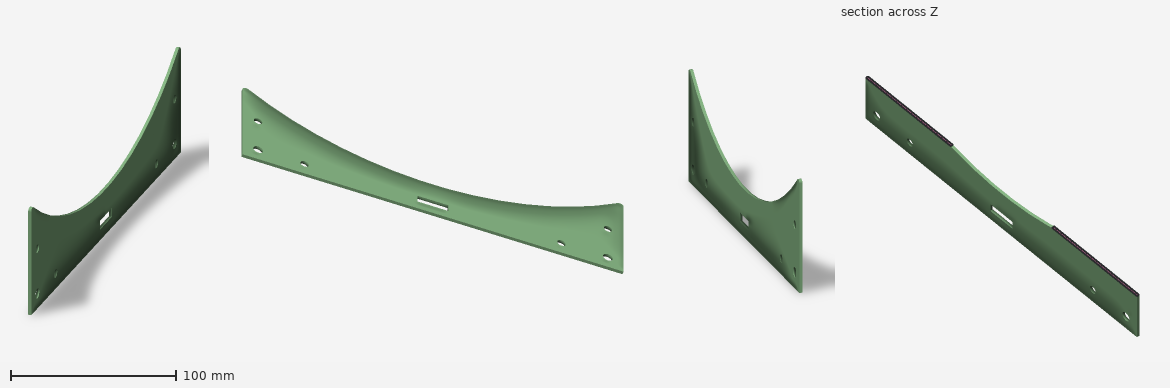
import cadquery as cq
import math

length = 246.0
height = 71.0
thickness = 2.0

arc_radius = 195.0
arc_bottom_height = 30.0
tip_fillet = 2.0

edge_margin = 10.0
hole_pitch = 30.0
corner_hole_diameter = 6.5
side_hole_diameter = 5.5
slot_length = 20.0
slot_height = 6.0

half_length = length / 2
arc_rise = height - arc_bottom_height
arc_half_width = math.sqrt(arc_rise * (2 * arc_radius - arc_rise))

corner_y = half_length - edge_margin
inner_y = corner_y - hole_pitch
upper_z = edge_margin + hole_pitch


def through_holes(positions, diameter):
    """Cylinders that pass through the plate along X."""
    return (
        cq.Workplane("YZ", origin=(-thickness, 0, 0))
        .pushPoints(positions)
        .circle(diameter / 2)
        .extrude(2 * thickness)
    )


plate = (
    cq.Workplane("YZ", origin=(-thickness / 2, 0, 0))
    .moveTo(-half_length, 0)
    .lineTo(half_length, 0)
    .lineTo(half_length, height)
    .lineTo(arc_half_width, height)
    .threePointArc((0, arc_bottom_height), (-arc_half_width, height))
    .lineTo(-half_length, height)
    .close()
    .extrude(thickness)
)

tip_edges = cq.selectors.BoxSelector(
    (-thickness, -length, height - tip_fillet),
    (thickness, length, height + tip_fillet),
)
plate = plate.edges("|X").edges(tip_edges).fillet(tip_fillet)

corner_holes = through_holes(
    [(side * corner_y, edge_margin) for side in (-1, 1)],
    corner_hole_diameter,
)
side_holes = through_holes(
    [(side * y, z) for side in (-1, 1) for y, z in ((corner_y, upper_z), (inner_y, edge_margin))],
    side_hole_diameter,
)
slot = cq.Workplane("XY").box(2 * thickness, slot_length, slot_height).translate((0, 0, edge_margin))

result = plate.cut(corner_holes).cut(side_holes).cut(slot)